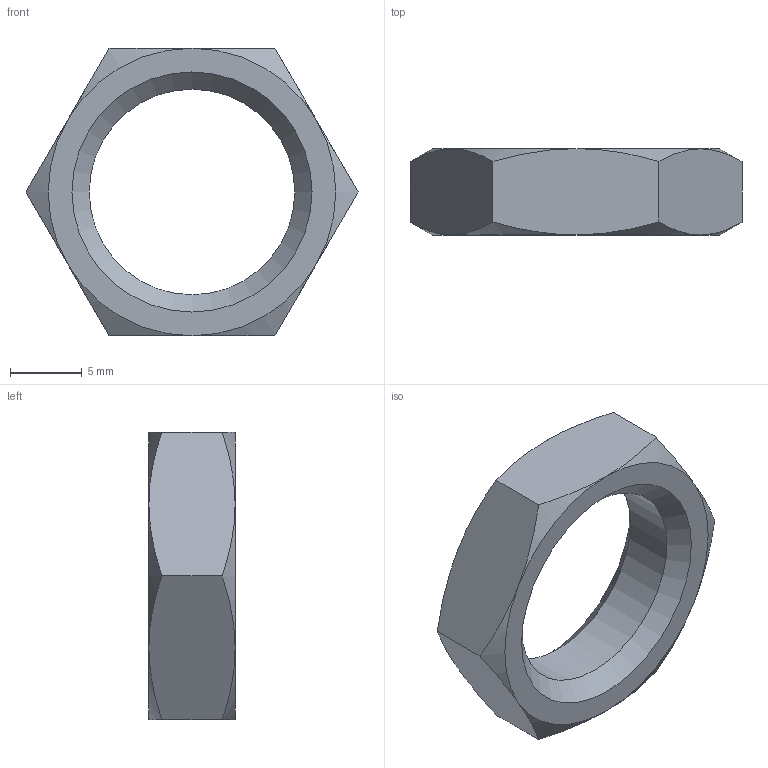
import cadquery as cq
import math

side_count = 6
across_flats = 20.0
thickness = 6.0
bore_diameter = 14.3
countersink_diameter = 16.7
countersink_angle = 45.0
corner_chamfer_angle = 30.0

half_thickness = thickness / 2
across_corners = across_flats / math.cos(math.pi / side_count)
flat_radius = across_flats / 2
corner_radius = across_corners / 2
bore_radius = bore_diameter / 2
countersink_radius = countersink_diameter / 2
countersink_depth = (countersink_radius - bore_radius) / math.tan(math.radians(countersink_angle))
chamfer_drop = (corner_radius - flat_radius) * math.tan(math.radians(corner_chamfer_angle))


def hexagon_blank():
    """Hexagonal prism along Y, centred on the origin, with corners on the X axis."""
    return cq.Workplane("XZ").polygon(side_count, across_corners).extrude(half_thickness, both=True)


def turned_envelope():
    """Ring around Y with the corner chamfers outside and the countersunk bore inside."""
    section = [
        (bore_radius, half_thickness - countersink_depth),
        (countersink_radius, half_thickness),
        (flat_radius, half_thickness),
        (corner_radius, half_thickness - chamfer_drop),
        (corner_radius, chamfer_drop - half_thickness),
        (flat_radius, -half_thickness),
        (countersink_radius, -half_thickness),
        (bore_radius, countersink_depth - half_thickness),
    ]
    return cq.Workplane("XY").polyline(section).close().revolve(360, (0, 0, 0), (0, 1, 0))


result = hexagon_blank().intersect(turned_envelope())